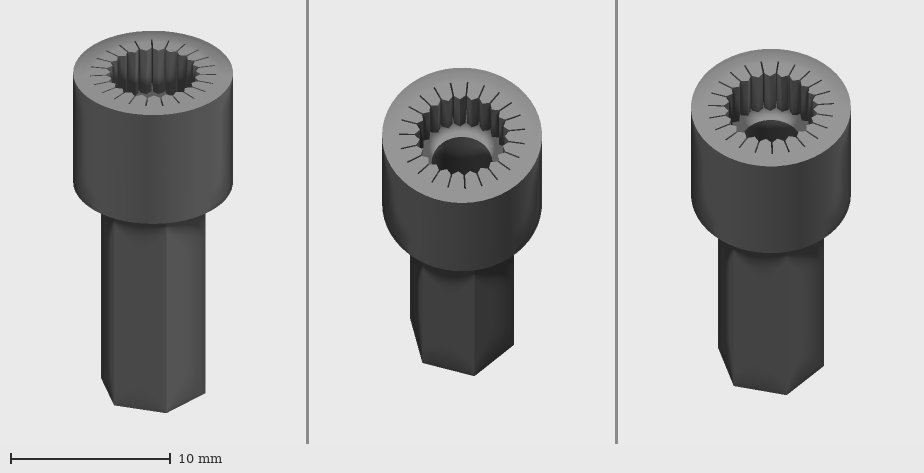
import cadquery as cq
import math

total_length = 23.0
head_diameter = 10.0
head_length = 8.0

hex_across_flats = 5.89
flare_length = 1.01
flare_across_flats = hex_across_flats + 2 * flare_length
head_bottom = total_length - head_length
shank_length = head_bottom - flare_length

bore_diameter = 3.8
socket_depth = 3.2
spline_count = 23
crest_radius = 2.67
valley_radius = 2.95
slot_end_radius = 3.95
slot_width = 0.1

spline_pitch = 360 / spline_count
first_slot_angle = 90.0
socket_floor = total_length - socket_depth


def polar(radius, angle):
    """Point at the given radius and angle in degrees."""
    return radius * math.cos(math.radians(angle)), radius * math.sin(math.radians(angle))


def hexagon(across_flats):
    """Corners of a hexagon with two flats facing X and two corners on Y."""
    corner_radius = across_flats / math.sqrt(3)
    return [polar(corner_radius, 30 + 60 * side) for side in range(6)]


def make_shank():
    return cq.Workplane("XY").polyline(hexagon(hex_across_flats)).close().extrude(shank_length)


def make_flare():
    return (
        cq.Workplane("XY", origin=(0, 0, shank_length))
        .polyline(hexagon(hex_across_flats))
        .close()
        .workplane(offset=flare_length)
        .polyline(hexagon(flare_across_flats))
        .close()
        .loft(ruled=True)
    )


def make_head():
    return cq.Workplane("XY", origin=(0, 0, head_bottom)).circle(head_diameter / 2).extrude(head_length)


def make_socket():
    """Ring of V-shaped teeth with a thin radial slot running out of each valley."""
    outline = []
    half_slot_at_valley = math.degrees(math.asin(slot_width / 2 / valley_radius))
    half_slot_at_end = math.degrees(math.asin(slot_width / 2 / slot_end_radius))
    for spline in range(spline_count):
        angle = first_slot_angle + spline * spline_pitch
        outline.append(polar(valley_radius, angle - half_slot_at_valley))
        outline.append(polar(slot_end_radius, angle - half_slot_at_end))
        outline.append(polar(slot_end_radius, angle + half_slot_at_end))
        outline.append(polar(valley_radius, angle + half_slot_at_valley))
        outline.append(polar(crest_radius, angle + spline_pitch / 2))
    return cq.Workplane("XY", origin=(0, 0, socket_floor)).polyline(outline).close().extrude(socket_depth)


def make_bore():
    return cq.Workplane("XY").circle(bore_diameter / 2).extrude(total_length)


body = make_shank().union(make_flare()).union(make_head())
result = body.cut(make_bore()).cut(make_socket())